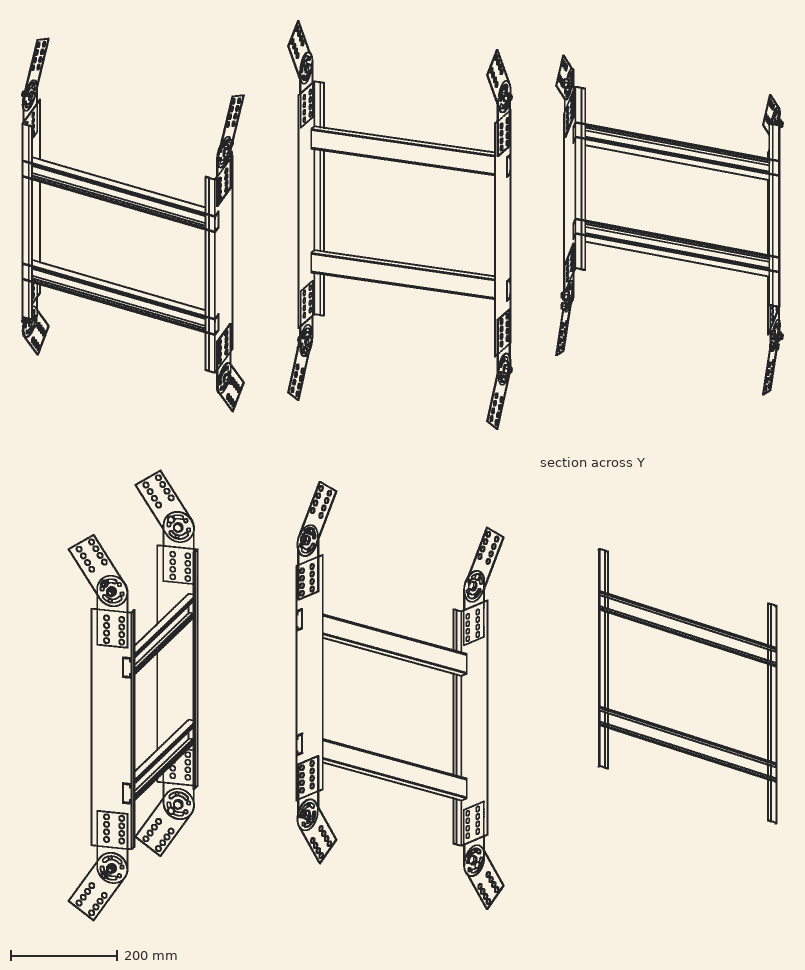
import cadquery as cq
import math

frame_width = 400.0
rail_length = 470.0
rail_height = 80.0
rail_flange = 20.0
rail_hem = 7.0
rail_sheet = 1.0
rail_bend_radius = 1.0
rung_spacing = 250.0
rung_width = 40.0
rung_depth = 16.0
rung_lip = 8.0
rung_wall = 2.4
rung_web = 1.0
rung_lip_setback = 1
rung_lip_wall = 1.0

plate_width = 60.0
plate_thickness = 1.5
arm_length = 110.0
swing_angle = 34.04
pivot_beyond_rail = 40.0
pivot_above_base = 38.0

arm_hole_diameter = 10.0
arm_hole_rows = 4
arm_hole_pitch = 15.0
arm_hole_end_distance = 10.0
arm_hole_columns = (-18.5, 11.5)

lock_radius = 20.0
lock_hole_angle = 45.0
lock_hole_diameter = 7.0
slot_half_angle = 50.0

pivot_bolt_diameter = 10.0
pivot_bolt_chamfer = 1.0
pivot_nut_diameter = 17.0
lock_bolt_diameter = 6.0
lock_nut_diameter = 12.5
washer_thickness = 2.0
nut_stack_height = 8.5
lock_bolt_projection = 0.5
pivot_head_height = 6.0
lock_head_height = 3.5
overall_width = 432.0
overall_depth = 124.44

half_width = frame_width / 2
base_y = -overall_depth / 2
hem_top_y = base_y + 2 * rail_sheet
pivot_y = base_y + pivot_above_base
pivot_z = rail_length / 2 + pivot_beyond_rail
inner_plate_x = -half_width - plate_thickness
outer_plate_x = inner_plate_x - plate_thickness


def make_left_rail():
    """L section whose flange ends in a flat hem folded over its inner face."""
    web_x = -half_width
    tip_x = web_x + rail_flange
    hem_x = tip_x - rail_hem
    return (
        cq.Workplane("XY", origin=(0, 0, -rail_length / 2))
        .polyline([
            (web_x, base_y),
            (tip_x, base_y),
            (tip_x, hem_top_y),
            (hem_x, hem_top_y),
            (hem_x, base_y + rail_sheet),
            (web_x + rail_sheet, base_y + rail_sheet),
            (web_x + rail_sheet, base_y + rail_height),
            (web_x, base_y + rail_height),
        ])
        .close()
        .extrude(rail_length)
        .edges(cq.selectors.NearestToPointSelector((web_x, base_y, 0)))
        .fillet(rail_bend_radius)
    )


def make_rung(center_z):
    """Lipped channel along X, standing on the rail hems and open towards -Y, its lips set back."""
    length = frame_width - 2 * rail_sheet
    half = rung_width / 2
    lip_start_y = hem_top_y + rung_lip_setback
    lip_end_y = lip_start_y + rung_lip_wall
    back_y = hem_top_y + rung_depth
    half_inside = half - rung_wall
    half_mouth = half - rung_lip
    section = [
        (hem_top_y, half),
        (back_y, half),
        (back_y, -half),
        (hem_top_y, -half),
        (hem_top_y, -half_inside),
        (lip_start_y, -half_inside),
        (lip_start_y, -half_mouth),
        (lip_end_y, -half_mouth),
        (lip_end_y, -half_inside),
        (back_y - rung_web, -half_inside),
        (back_y - rung_web, half_inside),
        (lip_end_y, half_inside),
        (lip_end_y, half_mouth),
        (lip_start_y, half_mouth),
        (lip_start_y, half_inside),
        (hem_top_y, half_inside),
    ]
    return (
        cq.Workplane("YZ", origin=(-length / 2, 0, center_z))
        .polyline(section)
        .close()
        .extrude(length)
    )


def make_ladder():
    left_rail = make_left_rail()
    ladder = left_rail.union(left_rail.mirror("YZ"))
    for side in (-1, 1):
        ladder = ladder.union(make_rung(side * rung_spacing / 2))
    return ladder


def around_pivot(radius, angle):
    """Point around the pivot at the origin, the angle measured from the +Z direction towards +Y."""
    a = math.radians(angle)
    return (radius * math.sin(a), radius * math.cos(a))


def make_lock_slot():
    """Cutter for the curved slot around the pivot, centred on the +Z direction."""
    outer = lock_radius + lock_hole_diameter / 2
    inner = lock_radius - lock_hole_diameter / 2
    end_centers = [around_pivot(lock_radius, side * slot_half_angle) for side in (-1, 1)]
    band = (
        cq.Workplane("YZ")
        .moveTo(*around_pivot(outer, -slot_half_angle))
        .threePointArc((0, outer), around_pivot(outer, slot_half_angle))
        .lineTo(*around_pivot(inner, slot_half_angle))
        .threePointArc((0, inner), around_pivot(inner, -slot_half_angle))
        .close()
        .extrude(plate_thickness)
    )
    ends = cq.Workplane("YZ").pushPoints(end_centers).circle(lock_hole_diameter / 2).extrude(plate_thickness)
    return band.union(ends)


def make_plate(column_offsets):
    """Plate with its pivot at the origin, its arm along +Z and its thickness along +X."""
    half = plate_width / 2
    first_hole = arm_length - arm_hole_end_distance
    arm_holes = [
        (column, first_hole - row * arm_hole_pitch)
        for column in column_offsets
        for row in range(arm_hole_rows)
    ]
    lock_holes = [around_pivot(lock_radius, 180 + side * lock_hole_angle) for side in (-1, 1)]
    plate = (
        cq.Workplane("YZ")
        .moveTo(-half, 0)
        .threePointArc((0, -half), (half, 0))
        .lineTo(half, arm_length)
        .lineTo(-half, arm_length)
        .close()
        .extrude(plate_thickness)
    )
    for points, diameter in ((arm_holes, arm_hole_diameter), (lock_holes, lock_hole_diameter)):
        plate = plate.cut(cq.Workplane("YZ").pushPoints(points).circle(diameter / 2).extrude(plate_thickness))
    return plate.cut(make_lock_slot())


def disc(diameter, x_start, x_end, center):
    return (
        cq.Workplane("YZ", origin=(x_start, 0, 0))
        .center(*center)
        .circle(diameter / 2)
        .extrude(x_end - x_start)
    )


def hexagon(corner_diameter, x_start, x_end, center, turn=0.0):
    """Hexagonal prism along X with two corners on the Z axis, turned about its own axis."""
    prism = cq.Workplane("YZ").polygon(6, corner_diameter).extrude(x_end - x_start)
    return prism.rotate((0, 0, 0), (1, 0, 0), 90 + turn).translate((x_start, *center))


def make_pivot_bolt():
    center = (pivot_y, pivot_z)
    nut_end_x = outer_plate_x - nut_stack_height
    outer_washer_x = outer_plate_x - washer_thickness
    inner_washer_x = -half_width + washer_thickness
    head_end_x = -half_width + pivot_head_height
    bolt = disc(pivot_bolt_diameter, -overall_width / 2, head_end_x, center)
    bolt = bolt.faces("<X").chamfer(pivot_bolt_chamfer)
    bolt = bolt.union(disc(pivot_nut_diameter, outer_washer_x, outer_plate_x, center))
    bolt = bolt.union(hexagon(pivot_nut_diameter, nut_end_x, outer_washer_x, center))
    bolt = bolt.union(disc(pivot_nut_diameter, -half_width, inner_washer_x, center))
    return bolt.union(hexagon(pivot_nut_diameter, inner_washer_x, head_end_x, center))


def make_lock_bolt():
    offset_y, offset_z = around_pivot(lock_radius, lock_hole_angle)
    center = (pivot_y + offset_y, pivot_z + offset_z)
    nut_end_x = outer_plate_x - nut_stack_height
    outer_washer_x = outer_plate_x - washer_thickness
    head_end_x = -half_width + lock_head_height
    bolt = disc(lock_bolt_diameter, nut_end_x - lock_bolt_projection, head_end_x, center)
    bolt = bolt.union(disc(lock_nut_diameter, outer_washer_x, outer_plate_x, center))
    bolt = bolt.union(hexagon(lock_nut_diameter, nut_end_x, outer_washer_x, center, lock_hole_angle))
    return bolt.union(disc(lock_nut_diameter, -half_width, head_end_x, center))


def make_upper_left_connector():
    """Fixed plate on the rail web, swung plate outside it, and the two bolts that join them."""
    mirrored_columns = [-column for column in arm_hole_columns]
    fixed_plate = (
        make_plate(mirrored_columns)
        .rotate((0, 0, 0), (1, 0, 0), 180)
        .translate((inner_plate_x, pivot_y, pivot_z))
    )
    swung_plate = (
        make_plate(arm_hole_columns)
        .rotate((0, 0, 0), (1, 0, 0), -swing_angle)
        .translate((outer_plate_x, pivot_y, pivot_z))
    )
    connector = fixed_plate.union(swung_plate)
    return connector.union(make_pivot_bolt()).union(make_lock_bolt())


ladder = make_ladder()

upper_left_connector = make_upper_left_connector()
connectors = []
for at_bottom in (False, True):
    left = upper_left_connector.mirror("XY") if at_bottom else upper_left_connector
    connectors += [left, left.mirror("YZ")]

result = cq.Compound.makeCompound([ladder.val()] + [connector.val() for connector in connectors])